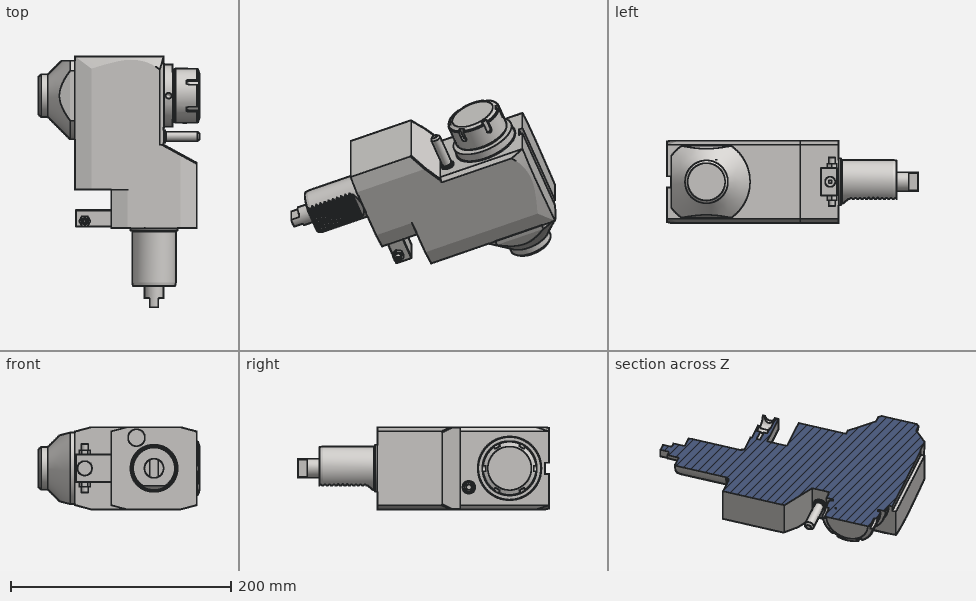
import cadquery as cq
import math


HALF_HEIGHT = 37.5
BACK_Y = 156.0
HEAD_LEFT_X = -71.8
HEAD_RIGHT_X = 8.8
FOOT_LEFT_X = -38.9
FOOT_RIGHT_X = 38.9
STEP_Y = 35.0
SLANT_TOP_Y = 75.6
SLANT_BOTTOM_Y = 59.2
SLANT_EDGE_CHAMFER = 0.8
BEVEL_DROP = 4.0
BEVEL_SLOPE = math.tan(math.radians(15))
BEVEL_WIDTH = BEVEL_DROP / BEVEL_SLOPE
HEAD_RIGHT_BEVEL_WIDTH = 3.5
KEYWAY_WIDTH = 10.0
KEYWAY_DEPTH = 3.5
RECESS_X, RECESS_Z = -15.9, 27.8
RECESS_RADIUS = 7.7
RECESS_DEPTH = 0.5
MARGIN = 5.0

CROWN_EDGE = [
    (HEAD_LEFT_X, BEVEL_WIDTH),
    (-43.0, 7.0),
    (-20.8, 3.2),
    (-2.0, 7.4),
    (HEAD_RIGHT_X, BEVEL_WIDTH),
]

SPINDLE_Y = 120.2
SPINDLE_END_X = 41.5
NUT_RADIUS = 24.8
NUT_START_X = 18.5
NUT_EDGE_X = 38.8
NUT_END_RADIUS = 19.8
NUT_CHAMFER_LENGTH = 1.2
NUT_CHAMFER_HEIGHT = 0.7
NUT_SLOTS = 6
FIRST_SLOT_ANGLE = 30.0
NUT_SLOT_WIDTH = 5.0
NUT_SLOT_DEPTH = 3.0
NUT_SLOT_START_X = 29.1
NECK_RADIUS = 21.6
RIM_RADIUS = 29.0
RIM_END_X = 9.5
FLANGE_RADIUS = 28.4
FLANGE_END_X = 17.0
DIMPLE_X = 13.3
DIMPLE_RADIUS = 2.7

COVER_END_X = -105.1
COVER_NOSE_RADIUS = 19.5
COVER_NOSE_CHAMFER = 2.5
COVER_CONE_X = -96.4
COVER_RADIUS = 39.7
COVER_RIM_X = COVER_CONE_X + COVER_RADIUS - COVER_NOSE_RADIUS
COVER_HALF_HEIGHT = 32.6
COVER_TAPER = math.tan(math.radians(15))
COVER_BACK_Y = 152.0

PIN_Y, PIN_Z = 83.2, -17.2
PIN_RADIUS = 4.4
PIN_TIP_RADIUS = 2.5
PIN_TIP_LENGTH = 2.0
PIN_COLLAR_RADIUS = 5.8
PIN_COLLAR_LENGTH = 1.2
PIN_NECK_LENGTH = 2.5
PIN_NECK_RADIUS = 4.2

SHANK_RADIUS = 20.0
SHANK_LENGTH = 52.8
SHANK_END_LENGTH = 3.4
SHANK_END_RADIUS = 19.4
SHANK_END_CHAMFER = 0.5
COLLAR_RADIUS = 21.5
COLLAR_LENGTH = 2.3
COLLAR_CHAMFER = 0.5
NECK_END_Y = 3.4
NECK_RELIEF = 0.3
FLAT_Z = -15.8
FLAT_START_Y = -8.6
RAMP_START_Y = -3.5
TOOTH_PITCH = 4.03
TOOTH_DEPTH = 1.4
TOOTH_GAPS = 11
FIRST_GAP_Y = -11.2

TANG_RADIUS = 8.7
TANG_SHOULDER_Y = -63.6
TANG_END_Y = -72.0
TANG_THICKNESS = 7.8
TANG_ROOT_FILLET = 1.0

BLOCK_LEFT_X = -71.2
BLOCK_FRONT_Y, BLOCK_BACK_Y = 1.2, 16.4
BLOCK_HALF_HEIGHT = 12.6
BLOCK_CHAMFER = 0.5
JET_X = -62.9
JET_RADIUS = 6.6
JET_DEPTH = 12.0
SIDE_PORT_Y = 7.8
SIDE_PORT_RADIUS = 4.6
SIDE_PORT_DEPTH = 22.0
FEED_RADIUS = 1.5
SCREW_Y = 6.2
SCREW_RADIUS = 3.0
SCREW_TOP_Z = 22.4
SCREW_CHAMFER = 0.6
SCREW_SOCKET_CORNERS = 3.0
SCREW_SOCKET_DEPTH = 2.5
SCREW_NUT_TOP_Z = 16.6
SCREW_NUT_CORNERS = 10.3


def box(x0, x1, y0, y1, z0, z1):
    return cq.Workplane("XY").box(x1 - x0, y1 - y0, z1 - z0, centered=False).translate((x0, y0, z0))


def x_cylinder(x0, x1, y, z, radius):
    return cq.Workplane("YZ", origin=(x0, y, z)).circle(radius).extrude(x1 - x0)


def turned_about_spindle(points):
    """Revolve an (x, radius) outline about the spindle axis."""
    profile = cq.Workplane("XY", origin=(0, SPINDLE_Y, 0)).polyline(points).close()
    return profile.revolve(360, (0, 0, 0), (1, 0, 0))


def bevelled_bar(x0, x1, left_width, right_width, y0, y1):
    """Bar along Y with its four long edges bevelled."""
    shoulder = HALF_HEIGHT - BEVEL_DROP
    outline = [
        (x0, -shoulder), (x0 + left_width, -HALF_HEIGHT), (x1 - right_width, -HALF_HEIGHT), (x1, -shoulder),
        (x1, shoulder), (x1 - right_width, HALF_HEIGHT), (x0 + left_width, HALF_HEIGHT), (x0, shoulder),
    ]
    return cq.Workplane("XZ", origin=(0, y0, 0)).polyline(outline).close().extrude(y0 - y1)


def crown_cutter():
    """Material above the crowned bevel: a curved section that rises at the bevel angle away from the back."""
    roof = HALF_HEIGHT + MARGIN

    def section(workplane, distance):
        points = [(x, HALF_HEIGHT + BEVEL_SLOPE * (distance - edge)) for x, edge in CROWN_EDGE]
        curve = workplane.moveTo(*points[0]).spline(points[1:], includeCurrent=True)
        return curve.lineTo(HEAD_RIGHT_X, roof).lineTo(HEAD_LEFT_X, roof).close()

    back = section(cq.Workplane("XZ", origin=(0, BACK_Y, 0)), 0)
    both = section(back.workplane(offset=BEVEL_WIDTH), BEVEL_WIDTH)
    return both.loft(ruled=True)


def housing():
    head = bevelled_bar(HEAD_LEFT_X, HEAD_RIGHT_X, BEVEL_WIDTH, HEAD_RIGHT_BEVEL_WIDTH, SLANT_TOP_Y, BACK_Y)
    waist = bevelled_bar(HEAD_LEFT_X, FOOT_RIGHT_X, BEVEL_WIDTH, BEVEL_WIDTH, STEP_Y, SLANT_TOP_Y)
    foot = bevelled_bar(FOOT_LEFT_X, FOOT_RIGHT_X, BEVEL_WIDTH, BEVEL_WIDTH, 0, STEP_Y)
    slant_corner = (
        cq.Workplane("XY", origin=(0, 0, -HALF_HEIGHT))
        .polyline([(HEAD_RIGHT_X, SLANT_TOP_Y), (FOOT_RIGHT_X, SLANT_BOTTOM_Y), (FOOT_RIGHT_X, SLANT_TOP_Y)])
        .close()
        .extrude(2 * HALF_HEIGHT)
    )
    waist = waist.cut(slant_corner)
    slant_normal = cq.Vector(SLANT_TOP_Y - SLANT_BOTTOM_Y, FOOT_RIGHT_X - HEAD_RIGHT_X, 0)
    slant_face = waist.faces(cq.selectors.ParallelDirSelector(slant_normal))
    waist = slant_face.edges("not |Z").chamfer(SLANT_EDGE_CHAMFER)

    body = head.union(waist).union(foot)
    crown = crown_cutter()
    body = body.cut(crown).cut(crown.mirror("XY"))
    body = body.cut(box(HEAD_LEFT_X, HEAD_RIGHT_X, BACK_Y - KEYWAY_DEPTH, BACK_Y,
                        -KEYWAY_WIDTH / 2, KEYWAY_WIDTH / 2))
    recess = cq.Workplane("XZ", origin=(RECESS_X, 0, RECESS_Z)).circle(RECESS_RADIUS).extrude(-RECESS_DEPTH)
    return body.cut(recess)


def rear_cover():
    cover = turned_about_spindle([
        (COVER_END_X, 0),
        (COVER_END_X, COVER_NOSE_RADIUS - COVER_NOSE_CHAMFER),
        (COVER_END_X + COVER_NOSE_CHAMFER, COVER_NOSE_RADIUS),
        (COVER_CONE_X, COVER_NOSE_RADIUS),
        (COVER_RIM_X, COVER_RADIUS),
        (HEAD_LEFT_X, COVER_RADIUS),
        (HEAD_LEFT_X, 0),
    ])
    end_half_height = COVER_HALF_HEIGHT - COVER_TAPER * (COVER_RIM_X - COVER_END_X)
    y0 = SPINDLE_Y - COVER_RADIUS
    envelope = (
        cq.Workplane("XZ", origin=(0, y0, 0))
        .polyline([
            (COVER_END_X, -end_half_height),
            (COVER_RIM_X, -COVER_HALF_HEIGHT),
            (HEAD_LEFT_X, -COVER_HALF_HEIGHT),
            (HEAD_LEFT_X, COVER_HALF_HEIGHT),
            (COVER_RIM_X, COVER_HALF_HEIGHT),
            (COVER_END_X, end_half_height),
        ])
        .close()
        .extrude(y0 - COVER_BACK_Y)
    )
    return cover.intersect(envelope)


def nut_slot(angle):
    """Round-ended wrench slot in the nut, turned about the spindle axis."""
    end_radius = NUT_SLOT_WIDTH / 2
    floor = NUT_RADIUS - NUT_SLOT_DEPTH
    centre_x = NUT_SLOT_START_X + end_radius
    slot = box(centre_x, SPINDLE_END_X, -end_radius, end_radius, floor, NUT_RADIUS)
    round_end = cq.Workplane("XY", origin=(centre_x, 0, floor)).circle(end_radius).extrude(NUT_SLOT_DEPTH)
    return slot.union(round_end).rotate((0, 0, 0), (1, 0, 0), angle).translate((0, SPINDLE_Y, 0))


def spindle():
    body = turned_about_spindle([
        (HEAD_RIGHT_X, 0),
        (HEAD_RIGHT_X, RIM_RADIUS),
        (RIM_END_X, RIM_RADIUS),
        (RIM_END_X, FLANGE_RADIUS),
        (FLANGE_END_X, FLANGE_RADIUS),
        (FLANGE_END_X, NECK_RADIUS),
        (NUT_START_X, NECK_RADIUS),
        (NUT_START_X, NUT_RADIUS - NUT_CHAMFER_HEIGHT),
        (NUT_START_X + NUT_CHAMFER_LENGTH, NUT_RADIUS),
        (NUT_EDGE_X, NUT_RADIUS),
        (NUT_EDGE_X + NUT_CHAMFER_LENGTH, NUT_RADIUS - NUT_CHAMFER_HEIGHT),
        (SPINDLE_END_X, NUT_END_RADIUS),
        (SPINDLE_END_X, 0),
    ])
    for index in range(NUT_SLOTS):
        body = body.cut(nut_slot(FIRST_SLOT_ANGLE + index * 360 / NUT_SLOTS))
    dimple = cq.Solid.makeCone(
        DIMPLE_RADIUS, 0, DIMPLE_RADIUS, cq.Vector(DIMPLE_X, SPINDLE_Y, FLANGE_RADIUS), cq.Vector(0, 0, -1)
    )
    return body.cut(cq.Workplane(dimple))


def locating_pin():
    collar = x_cylinder(HEAD_RIGHT_X, HEAD_RIGHT_X + PIN_COLLAR_LENGTH, PIN_Y, PIN_Z, PIN_COLLAR_RADIUS)
    neck_end_x = HEAD_RIGHT_X + PIN_NECK_LENGTH
    neck = x_cylinder(HEAD_RIGHT_X, neck_end_x, PIN_Y, PIN_Z, PIN_NECK_RADIUS)
    pin = x_cylinder(neck_end_x, SPINDLE_END_X, PIN_Y, PIN_Z, PIN_RADIUS)
    pin = pin.faces(">X").chamfer(PIN_TIP_LENGTH, PIN_RADIUS - PIN_TIP_RADIUS)
    return collar.union(neck).union(pin)


def shank():
    shoulder_y = SHANK_LENGTH - SHANK_END_LENGTH
    neck_radius = SHANK_RADIUS - NECK_RELIEF
    body = (
        cq.Workplane("XY")
        .polyline([
            (0, 0),
            (COLLAR_RADIUS, 0),
            (COLLAR_RADIUS, COLLAR_CHAMFER - COLLAR_LENGTH),
            (COLLAR_RADIUS - COLLAR_CHAMFER, -COLLAR_LENGTH),
            (neck_radius, -COLLAR_LENGTH),
            (neck_radius, -NECK_END_Y),
            (SHANK_RADIUS, -NECK_END_Y),
            (SHANK_RADIUS, -shoulder_y),
            (SHANK_END_RADIUS, SHANK_END_CHAMFER - SHANK_LENGTH),
            (SHANK_END_RADIUS - SHANK_END_CHAMFER, -SHANK_LENGTH),
            (0, -SHANK_LENGTH),
        ])
        .close()
        .revolve(360, (0, 0, 0), (0, 1, 0))
    )
    below = -SHANK_RADIUS - MARGIN
    side = cq.Workplane("YZ", origin=(-SHANK_RADIUS, 0, 0))
    flat = (
        side.polyline([
            (RAMP_START_Y, below), (RAMP_START_Y, -SHANK_RADIUS), (FLAT_START_Y, FLAT_Z),
            (-SHANK_LENGTH, FLAT_Z), (-SHANK_LENGTH, below),
        ])
        .close()
        .extrude(2 * SHANK_RADIUS)
    )
    body = body.cut(flat)
    for index in range(TOOTH_GAPS):
        y = FIRST_GAP_Y - index * TOOTH_PITCH
        gap = [(y - TOOTH_DEPTH, FLAT_Z), (y, FLAT_Z + TOOTH_DEPTH), (y + TOOTH_DEPTH, FLAT_Z)]
        body = body.cut(side.polyline(gap).close().extrude(2 * SHANK_RADIUS))
    return body


def drive_tang():
    shank_end = cq.Workplane("XZ", origin=(0, -SHANK_LENGTH, 0))
    tang = shank_end.circle(TANG_RADIUS).extrude(-SHANK_LENGTH - TANG_END_Y)
    for side in (-1, 1):
        inner_x = side * TANG_THICKNESS / 2
        outer_x = side * TANG_RADIUS
        relief = box(min(inner_x, outer_x), max(inner_x, outer_x), TANG_END_Y, TANG_SHOULDER_Y,
                     -TANG_RADIUS, TANG_RADIUS)
        root = relief.edges("|Z").edges(">Y").edges(">X" if side < 0 else "<X")
        tang = tang.cut(root.fillet(TANG_ROOT_FILLET))
    return tang


def clamp_screw():
    """Socket-ended stud with a hexagon nut, standing on top of the coolant block."""
    base = cq.Workplane("XY", origin=(JET_X, SCREW_Y, BLOCK_HALF_HEIGHT))
    nut = base.polygon(6, SCREW_NUT_CORNERS).extrude(SCREW_NUT_TOP_Z - BLOCK_HALF_HEIGHT)
    stud = base.circle(SCREW_RADIUS).extrude(SCREW_TOP_Z - BLOCK_HALF_HEIGHT)
    stud = stud.faces(">Z").chamfer(SCREW_CHAMFER)
    socket_base = cq.Workplane("XY", origin=(JET_X, SCREW_Y, SCREW_TOP_Z))
    socket = socket_base.polygon(6, SCREW_SOCKET_CORNERS).extrude(-SCREW_SOCKET_DEPTH)
    return nut.union(stud).cut(socket)


def coolant_block():
    block = box(BLOCK_LEFT_X, FOOT_LEFT_X, BLOCK_FRONT_Y, BLOCK_BACK_Y, -BLOCK_HALF_HEIGHT, BLOCK_HALF_HEIGHT)
    block = block.edges("|X").chamfer(BLOCK_CHAMFER).faces("<X").chamfer(BLOCK_CHAMFER)
    jet = cq.Workplane("XZ", origin=(JET_X, BLOCK_FRONT_Y, 0)).circle(JET_RADIUS).extrude(-JET_DEPTH)
    side_port = x_cylinder(BLOCK_LEFT_X, BLOCK_LEFT_X + SIDE_PORT_DEPTH, SIDE_PORT_Y, 0, SIDE_PORT_RADIUS)
    feed = x_cylinder(JET_X, FOOT_LEFT_X, SIDE_PORT_Y, 0, FEED_RADIUS)
    block = block.cut(jet).cut(side_port).cut(feed)
    screw = clamp_screw()
    return block.union(screw).union(screw.mirror("XY"))


result = housing()
for component in (rear_cover(), spindle(), locating_pin(), shank(), drive_tang(), coolant_block()):
    result = result.union(component)